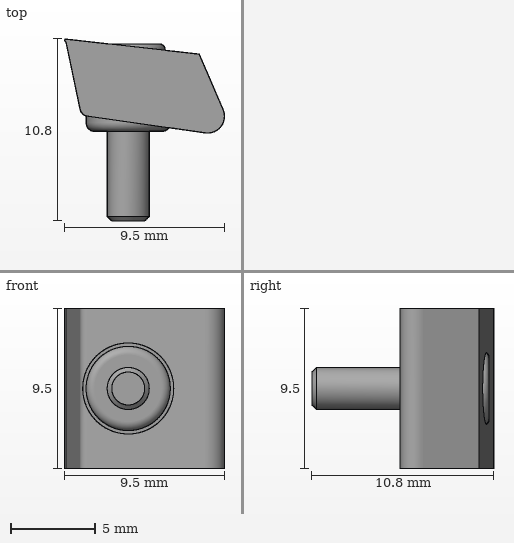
import cadquery as cq


block_height = 9.5
tip_back = (-3.74, 5.49)
tip_nose = (-3.79, 5.41)
tip_relief = (-3.69, 5.28)
back_right = (4.21, 4.59)
front_right = (6.34, -0.35)
front_left = (-2.79, 0.96)
front_left_radius = 0.5
front_right_radius = 1.0

shank_diameter = 2.5
shank_length = 5.31
shank_chamfer = 0.27
flange_diameter = 5.0
flange_radius = 0.5
flange_thickness = 3 * flange_radius
head_diameter = 4.4
head_back = 5.2
head_radius = 0.36

recess_diameter = 5.4
recess_floor = flange_thickness


def cylinder_along_y(diameter, start, end):
    """Cylinder on the screw axis between two Y positions."""
    return cq.Workplane("XZ", origin=(0, end, 0)).circle(diameter / 2).extrude(end - start)


def round_upright_edge(body, corner, radius):
    """Fillet the vertical block edge that passes through an outline corner."""
    nearest = cq.selectors.NearestToPointSelector((corner[0], corner[1], 0))
    return body.edges("|Z").edges(nearest).fillet(radius)


def make_block():
    outline = [tip_back, back_right, front_right, front_left, tip_relief, tip_nose]
    block = cq.Workplane("XY").polyline(outline).close().extrude(block_height / 2, both=True)
    block = round_upright_edge(block, front_left, front_left_radius)
    block = round_upright_edge(block, front_right, front_right_radius)
    return block.cut(cylinder_along_y(recess_diameter, -shank_length, recess_floor))


def make_screw():
    shank = cylinder_along_y(shank_diameter, -shank_length, recess_floor)
    shank = shank.faces("<Y").chamfer(shank_chamfer)
    flange = cylinder_along_y(flange_diameter, 0, flange_thickness)
    flange = flange.faces("<Y or >Y").edges().fillet(flange_radius)
    head = cylinder_along_y(head_diameter, recess_floor, head_back)
    head = head.faces(">Y").edges().fillet(head_radius)
    return shank.union(flange).union(head)


result = make_block().union(make_screw())